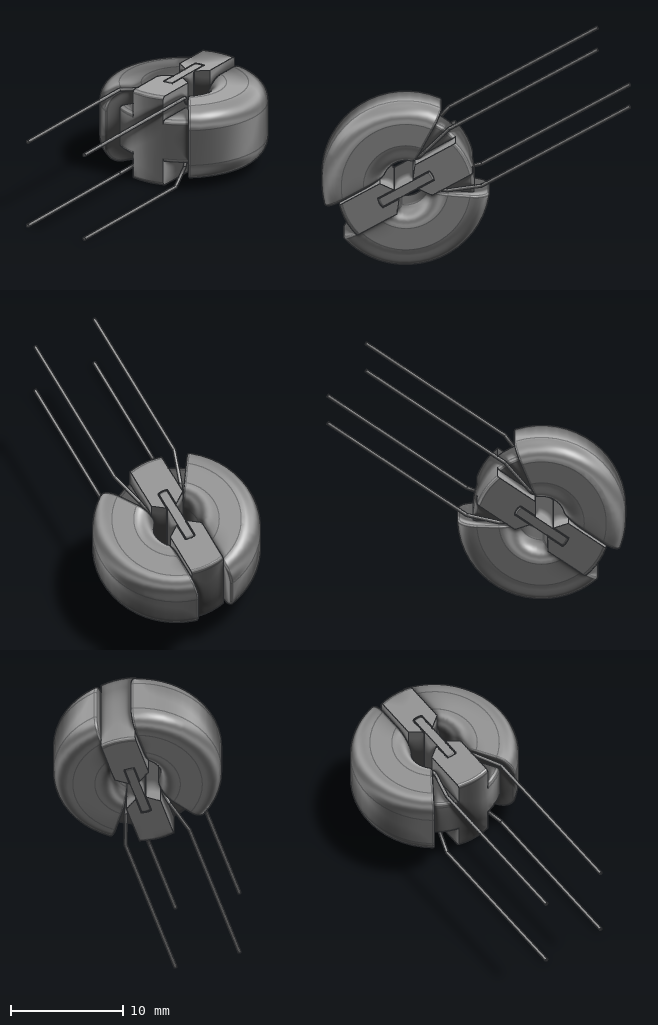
import cadquery as cq
import math

core_radius = 6.1
core_hole_radius = 2.5
core_height = 4.0
core_fillet = 0.35
winding_thickness = 1.4
winding_radius = core_radius + winding_thickness
winding_height = core_height + 2 * winding_thickness
winding_fillet = core_fillet + winding_thickness
winding_hole_radius = 2.07
winding_end_fillet = 0.17

holder_width = 3.18
holder_height = 8.5
holder_fillet = 0.28
holder_nose_y = 0.97
holder_shoulder_y = 1.8

plate_width = 0.82
plate_half_length = 2.7
plate_crown = 0.09
plate_fillet = 0.17
slot_width = 0.97
slot_depth = 0.17

front_end_angle = 57.0
front_end_offset = 0.37

overall_length = 28.4
lead_diameter = 0.28
lead_x = 2.98
lead_z = 4.0
lead_bend_y = -6.02
lead_rise = (2.05, -3.07, 3.32)
lead_root = (1.53, -1.93, 2.33)

reach = 2 * core_radius
half_holder = holder_width / 2

corner_centre_x = half_holder + winding_end_fillet
corner_centre_radius = winding_radius - winding_end_fillet
corner_centre_y = math.sqrt(corner_centre_radius ** 2 - corner_centre_x ** 2)
lead_tip_y = corner_centre_y + winding_end_fillet - overall_length


def ring(outer_radius, inner_radius, height, fillet):
    """Flat ring centred on the origin, with all its circular edges rounded."""
    blank = cq.Workplane("XY").circle(outer_radius).circle(inner_radius).extrude(height / 2, both=True)
    return blank.edges().fillet(fillet)


def winding():
    """Left winding: a thicker ring cut off at the back and along the slanted front end."""
    turns = ring(winding_radius, winding_hole_radius, winding_height, winding_fillet)
    angle = math.radians(front_end_angle)
    start_x = -front_end_offset / math.sin(angle)
    far = (start_x - reach * math.cos(angle), -reach * math.sin(angle))
    sector = (
        cq.Workplane("XY")
        .polyline([
            (start_x, 0),
            (-half_holder, 0),
            (-half_holder, reach),
            (-reach, reach),
            (-reach, far[1]),
            far,
        ])
        .close()
        .extrude(winding_height / 2, both=True)
    )
    half_ring = turns.intersect(sector)
    back_rim = half_ring.faces("|X").edges()
    half_ring = back_rim.fillet(winding_end_fillet)
    front_normal = cq.Vector(math.sin(angle), -math.cos(angle), 0)
    front_rim = half_ring.faces(cq.selectors.DirectionMinMaxSelector(front_normal)).edges()
    return front_rim.fillet(winding_end_fillet)


def holder():
    """Front and back bars, each with a tapered nose pointing into the hole of the core."""
    nose_half_width = slot_width / 2
    disc = cq.Workplane("XY").circle(core_radius).extrude(holder_height / 2, both=True)
    disc = disc.edges().fillet(holder_fillet)
    bar_outline = (
        cq.Workplane("XY")
        .polyline([
            (-nose_half_width, -holder_nose_y),
            (nose_half_width, -holder_nose_y),
            (half_holder, -holder_shoulder_y),
            (half_holder, -reach),
            (-half_holder, -reach),
            (-half_holder, -holder_shoulder_y),
        ])
        .close()
        .extrude(holder_height / 2, both=True)
    )
    front_bar = disc.intersect(bar_outline)
    return front_bar.union(front_bar.mirror("XZ"))


def crowned_strip(width, height):
    """Strip along Y whose two ends bulge outwards in a shallow arc."""
    half_width = width / 2
    corner_y = plate_half_length - plate_crown
    return (
        cq.Workplane("XY")
        .moveTo(-half_width, -corner_y)
        .threePointArc((0, -plate_half_length), (half_width, -corner_y))
        .lineTo(half_width, corner_y)
        .threePointArc((0, plate_half_length), (-half_width, corner_y))
        .close()
        .extrude(height / 2, both=True)
    )


def divider_plate():
    """Full-height plate with its end edges rounded."""
    plate = crowned_strip(plate_width, holder_height)
    return plate.edges("%CIRCLE").fillet(plate_fillet)


def slots():
    """Shallow recesses around the plate in the top and bottom of the holder bars."""
    block = crowned_strip(slot_width, holder_height)
    middle = cq.Workplane("XY").box(reach, reach, holder_height - 2 * slot_depth)
    return block.cut(middle)


def lead():
    """Upper left wire: straight tail, then a bent run back to the winding."""
    path = cq.Workplane("XY").polyline([
        (-lead_x, lead_tip_y, lead_z),
        (-lead_x, lead_bend_y, lead_z),
        (-lead_rise[0], lead_rise[1], lead_rise[2]),
        (-lead_root[0], lead_root[1], lead_root[2]),
    ])
    section = cq.Workplane("XZ", origin=(-lead_x, lead_tip_y, lead_z)).circle(lead_diameter / 2)
    return section.sweep(path, transition="round")


result = ring(core_radius, core_hole_radius, core_height, core_fillet)
result = result.union(holder()).cut(slots()).union(divider_plate())

left_winding = winding()
result = result.union(left_winding).union(left_winding.mirror("YZ"))

upper_left_lead = lead()
upper_leads = upper_left_lead.union(upper_left_lead.mirror("YZ"))
result = result.union(upper_leads).union(upper_leads.mirror("XY"))